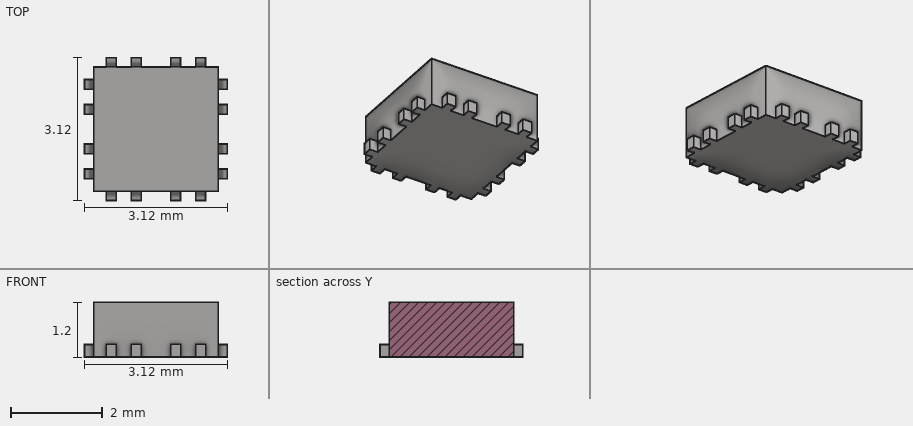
import cadquery as cq

overall_width = 3.12
height = 1.2
lead_projection = 0.2
body_width = overall_width - 2 * lead_projection

lead_width = 0.22
lead_height = 0.28
inner_lead_offset = 0.43
lead_pitch = 0.545
outer_lead_offset = inner_lead_offset + lead_pitch
lead_offsets = [-outer_lead_offset, -inner_lead_offset, inner_lead_offset, outer_lead_offset]

FROM_BASE = (True, True, False)


def make_body():
    return cq.Workplane("XY").box(body_width, body_width, height, centered=FROM_BASE)


def make_lead_bars(length_x, length_y, centres):
    """Bars that cross the whole body, so that both ends stand out as leads."""
    return (
        cq.Workplane("XY")
        .pushPoints(centres)
        .box(length_x, length_y, lead_height, centered=FROM_BASE)
    )


leads_along_x = make_lead_bars(overall_width, lead_width, [(0, y) for y in lead_offsets])
leads_along_y = make_lead_bars(lead_width, overall_width, [(x, 0) for x in lead_offsets])

result = make_body().union(leads_along_x).union(leads_along_y)